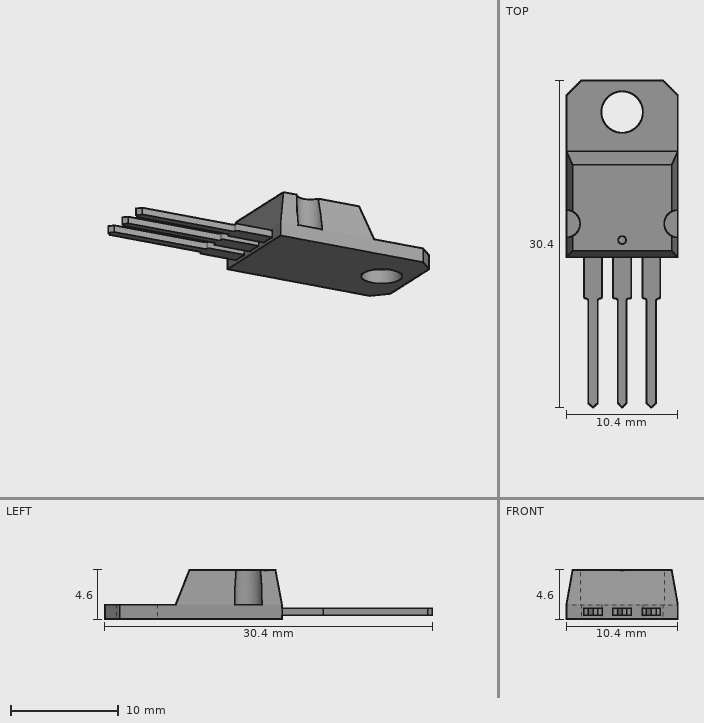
import cadquery as cq

width = 10.38
total_length = 30.43
lead_length = 13.97
tab_end = total_length - lead_length
plate_thickness = 1.37
total_height = 4.6

tab_chamfer = 1.4
hole_radius = 1.92
hole_y = 13.5

body_length = 9.9
side_taper = 0.58
front_taper = 0.6
back_taper = 1.28
notch_radius = 1.28
notch_y = 3.13
dimple_radius = 0.35
dimple_y = 1.6
dimple_depth = 0.1

lead_pitch = 2.7
lead_bottom = 0.35
lead_thickness = 0.67
outer_wide, outer_narrow = 1.67, 0.9
middle_wide, middle_narrow = 1.73, 0.82
shoulder_start = 3.65
shoulder_radius = 0.18
tip_length = 0.43
lead_embed = 0.3


def make_plate():
    plate = (
        cq.Workplane("XY")
        .box(width, tab_end, plate_thickness, centered=(True, False, False))
        .edges("|Z and >Y")
        .chamfer(tab_chamfer)
    )
    hole = cq.Workplane("XY").center(0, hole_y).circle(hole_radius).extrude(plate_thickness)
    return plate.cut(hole)


def make_body():
    """Frustum with unequal tapers, side notches and an index dimple."""
    top_length = body_length - front_taper - back_taper
    body = (
        cq.Workplane("XY", origin=(0, body_length / 2, plate_thickness))
        .rect(width, body_length)
        .workplane(offset=total_height - plate_thickness)
        .center(0, (front_taper - back_taper) / 2)
        .rect(width - 2 * side_taper, top_length)
        .loft(ruled=True)
    )
    notches = (
        cq.Workplane("XY", origin=(0, 0, plate_thickness))
        .pushPoints([(-width / 2, notch_y), (width / 2, notch_y)])
        .circle(notch_radius)
        .extrude(total_height - plate_thickness)
    )
    dimple = (
        cq.Workplane("XY", origin=(0, dimple_y, total_height - dimple_depth))
        .circle(dimple_radius)
        .extrude(dimple_depth)
    )
    return body.cut(notches).cut(dimple)


def make_lead(x, wide_width, narrow_width):
    """Stepped lead with rounded shoulders and a pointed tip."""
    wide = wide_width / 2
    narrow = narrow_width / 2
    shoulder_mid = -shoulder_start - shoulder_radius
    shoulder_end = shoulder_mid - shoulder_radius
    half = (
        cq.Workplane("XY", origin=(x, 0, lead_bottom))
        .moveTo(0, lead_embed)
        .lineTo(wide, lead_embed)
        .lineTo(wide, -shoulder_start)
        .radiusArc((wide - shoulder_radius, shoulder_mid), shoulder_radius)
    )
    if wide - narrow > 2 * shoulder_radius:
        half = half.lineTo(narrow + shoulder_radius, shoulder_mid)
    half = (
        half.radiusArc((narrow, shoulder_end), -shoulder_radius)
        .lineTo(narrow, -lead_length + tip_length)
        .lineTo(0, -lead_length)
        .close()
        .extrude(lead_thickness)
    )
    return half.union(half.mirror("YZ", (x, 0, 0)))


result = make_plate().union(make_body())
for lead_x in (-lead_pitch, lead_pitch):
    result = result.union(make_lead(lead_x, outer_wide, outer_narrow))
result = result.union(make_lead(0, middle_wide, middle_narrow)).clean()